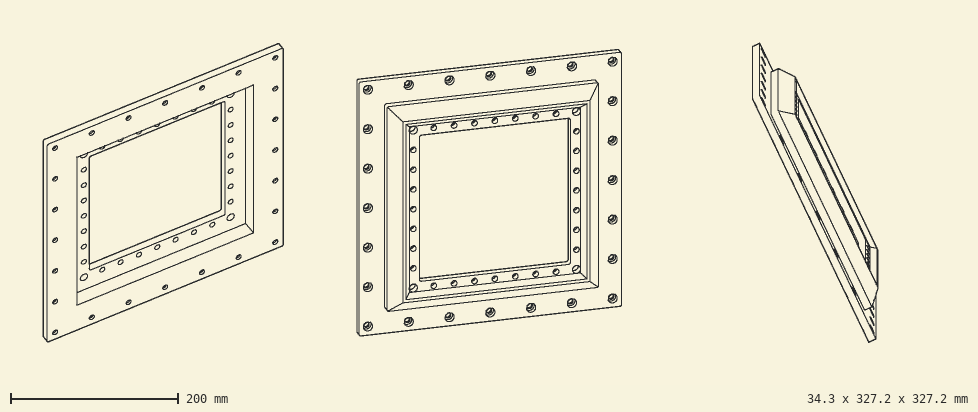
import cadquery as cq

INCH = 25.4

total_depth = 1.35 * INCH
flange_thickness = 0.375 * INCH
bevel_size = 0.60 * INCH
recess_depth = 0.24 * INCH
rim_thickness = 0.375 * INCH

flange_width = 12.88 * INCH
boss_width = 10.375 * INCH
recess_floor_width = 8.40 * INCH
opening_width = 7.40 * INCH
wall_thickness = flange_thickness
corner_radius = 0.10 * INCH

flange_hole_pitch = 2.0 * INCH
flange_holes_per_side = 7
flange_hole_diameter = 0.266 * INCH
counterbore_diameter = 0.44 * INCH
counterbore_depth = 0.25 * INCH

rim_hole_pitch = 1.0 * INCH
rim_holes_per_side = 9
rim_hole_diameter = 0.27 * INCH
rim_corner_hole_diameter = 0.39 * INCH

flange_front = total_depth - flange_thickness
rim_back = recess_depth + rim_thickness


def plane_at(x):
    """Sketch plane facing +X at depth x, with local axes along Y and Z."""
    return cq.Workplane("YZ", origin=(x, 0, 0))


def square_block(width, x_start, x_end):
    return plane_at(x_start).rect(width, width).extrude(x_end - x_start)


def square_taper(start_width, x_start, end_width, x_end):
    start = plane_at(x_start).rect(start_width, start_width)
    return start.workplane(offset=x_end - x_start).rect(end_width, end_width).loft(ruled=True)


def rounded_block(width, x_start, x_end):
    return square_block(width, x_start, x_end).edges("|X").fillet(corner_radius)


def square_ring(pitch, holes_per_side):
    """Evenly spaced (y, z) points around a square, as (corner points, side points)."""
    half = pitch * (holes_per_side - 1) / 2
    corners = [(y, z) for y in (-half, half) for z in (-half, half)]
    sides = []
    for i in range(1, holes_per_side - 1):
        along = i * pitch - half
        sides += [(along, -half), (along, half), (-half, along), (half, along)]
    return corners, sides


def drills(points, diameter, x_start, x_end):
    return plane_at(x_start).pushPoints(points).circle(diameter / 2).extrude(x_end - x_start)


def make_body():
    flange = rounded_block(flange_width, flange_front, total_depth)
    boss = rounded_block(boss_width, 0, flange_front)
    bevel = square_taper(boss_width - 2 * bevel_size, 0, boss_width, bevel_size)
    straight = square_block(boss_width, bevel_size, flange_front)
    return flange.union(boss.intersect(bevel.union(straight)))


def cut_openings(body):
    recess = square_taper(recess_floor_width + 2 * recess_depth, 0, recess_floor_width, recess_depth)
    opening = rounded_block(opening_width, 0, total_depth)
    back_pocket = square_block(boss_width - 2 * wall_thickness, rim_back, total_depth)
    return body.cut(recess).cut(opening).cut(back_pocket)


def cut_flange_holes(body):
    corners, sides = square_ring(flange_hole_pitch, flange_holes_per_side)
    points = corners + sides
    body = body.cut(drills(points, flange_hole_diameter, flange_front, total_depth))
    bore_floor = flange_front + counterbore_depth
    return body.cut(drills(points, counterbore_diameter, flange_front, bore_floor))


def cut_rim_holes(body):
    corners, sides = square_ring(rim_hole_pitch, rim_holes_per_side)
    body = body.cut(drills(sides, rim_hole_diameter, 0, rim_back))
    return body.cut(drills(corners, rim_corner_hole_diameter, 0, rim_back))


result = cut_rim_holes(cut_flange_holes(cut_openings(make_body())))